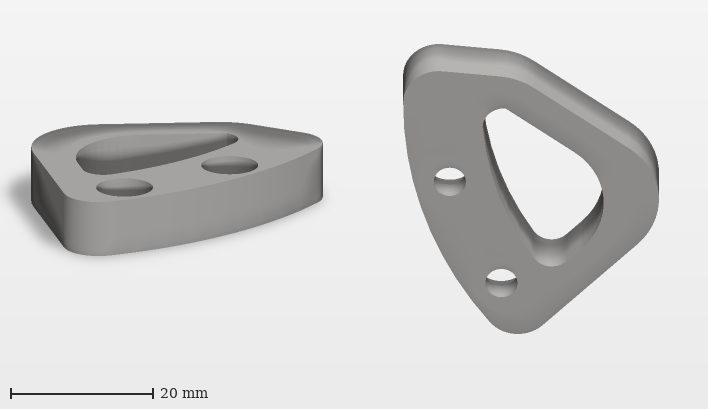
import cadquery as cq
import math

thickness = 8.0
outer_radius = 56.0
slot_radius = 45.0
lower_edge_angle = -10.0
upper_edge_angle = 40.0

back_wall_angle = 70.0
back_wall_distance = 20.0

frame_width = 5.0

back_corner_radius = 10.0
rim_corner_radius = 5.0
slot_back_corner_radius = 10.0
slot_rim_corner_radius = 3.0

hole_circle_radius = 51.0
hole_angles = (0.0, 20.0)
hole_diameter = 4.5
counterbore_diameter = 8.0
counterbore_depth = 4.6


def polar(radius, angle):
    """Point at a given radius and angle from the origin."""
    return radius * math.cos(math.radians(angle)), radius * math.sin(math.radians(angle))


def moved(point, distance, angle):
    """Point shifted by a distance along an angle."""
    step_x, step_y = polar(distance, angle)
    return point[0] + step_x, point[1] + step_y


def back_wall_point(wall_distance, edge_angle, edge_offset):
    """Corner where a wall parallel to the back wall meets a line parallel to a radial edge.

    edge_offset is measured to the left of the radial edge direction.
    """
    normal_angle = back_wall_angle - 90.0
    foot = polar(edge_offset, edge_angle + 90.0)
    foot_distance = edge_offset * math.cos(math.radians(edge_angle + 90.0 - normal_angle))
    travel = (wall_distance - foot_distance) / math.cos(math.radians(edge_angle - normal_angle))
    return moved(foot, travel, edge_angle)


def rim_corner_centre(arc_radius, edge_angle, edge_offset, corner_radius, side):
    """Radius and angle from the origin of the centre of a round inside a rim corner.

    The corner lies between an arc about the origin and a line parallel to a radial edge.
    side is +1 when the round lies to the left of the line and -1 when it lies to the right.
    """
    centre_radius = arc_radius - corner_radius
    centre_offset = edge_offset + side * corner_radius
    centre_angle = edge_angle + math.degrees(math.asin(centre_offset / centre_radius))
    return centre_radius, centre_angle


def rim_corner(arc_radius, edge_angle, edge_offset, corner_radius, side):
    """Start on the line, middle and end on the arc of a round inside a rim corner."""
    centre_radius, centre_angle = rim_corner_centre(
        arc_radius, edge_angle, edge_offset, corner_radius, side)
    centre = polar(centre_radius, centre_angle)
    line_side_angle = edge_angle - side * 90.0
    on_line = moved(centre, corner_radius, line_side_angle)
    middle = moved(centre, corner_radius, (line_side_angle + centre_angle) / 2.0)
    on_arc = polar(arc_radius, centre_angle)
    return on_line, middle, on_arc


def middle_of_arc(radius, start, end):
    """Point halfway along an arc about the origin."""
    start_angle = math.degrees(math.atan2(start[1], start[0]))
    end_angle = math.degrees(math.atan2(end[1], end[0]))
    return polar(radius, (start_angle + end_angle) / 2.0)


def make_plate():
    """Outer body with all four corners rounded."""
    low_line, low_middle, low_arc = rim_corner(
        outer_radius, lower_edge_angle, 0.0, rim_corner_radius, 1)
    high_line, high_middle, high_arc = rim_corner(
        outer_radius, upper_edge_angle, 0.0, rim_corner_radius, -1)
    low_back = back_wall_point(back_wall_distance, lower_edge_angle, 0.0)
    high_back = back_wall_point(back_wall_distance, upper_edge_angle, 0.0)
    plate = (
        cq.Workplane("XY")
        .moveTo(*low_back)
        .lineTo(*low_line)
        .threePointArc(low_middle, low_arc)
        .threePointArc(middle_of_arc(outer_radius, low_arc, high_arc), high_arc)
        .threePointArc(high_middle, high_line)
        .lineTo(*high_back)
        .close()
        .extrude(thickness)
    )
    for corner in (low_back, high_back):
        nearest = cq.selectors.NearestToPointSelector((*corner, thickness / 2.0))
        plate = plate.edges("|Z").edges(nearest).fillet(back_corner_radius)
    return plate


def make_slot():
    """Window through the plate; its upper round runs straight into the back wall."""
    wall_distance = back_wall_distance + frame_width
    low_line, low_middle, low_arc = rim_corner(
        slot_radius, lower_edge_angle, frame_width, slot_rim_corner_radius, 1)
    upper_round = (slot_radius, upper_edge_angle, -frame_width, slot_rim_corner_radius, -1)
    _, high_middle, high_arc = rim_corner(*upper_round)
    low_back = back_wall_point(wall_distance, lower_edge_angle, frame_width)

    centre_radius, centre_angle = rim_corner_centre(*upper_round)
    wall_normal = back_wall_angle - 90.0
    centre_distance = centre_radius * math.cos(math.radians(centre_angle - wall_normal))
    gap = centre_distance - wall_distance
    half_chord = math.sqrt(slot_rim_corner_radius**2 - gap**2)
    chord_middle = moved(polar(centre_radius, centre_angle), -gap, wall_normal)
    high_back = moved(chord_middle, half_chord, back_wall_angle)

    slot = (
        cq.Workplane("XY")
        .moveTo(*low_back)
        .lineTo(*low_line)
        .threePointArc(low_middle, low_arc)
        .threePointArc(middle_of_arc(slot_radius, low_arc, high_arc), high_arc)
        .threePointArc(high_middle, high_back)
        .close()
        .extrude(thickness)
    )
    nearest = cq.selectors.NearestToPointSelector((*low_back, thickness / 2.0))
    return slot.edges("|Z").edges(nearest).fillet(slot_back_corner_radius)


def cut_screw_holes(body):
    """Through holes counterbored from the top face."""
    return (
        body.faces(">Z")
        .workplane(origin=(0, 0, thickness))
        .pushPoints([polar(hole_circle_radius, angle) for angle in hole_angles])
        .cboreHole(hole_diameter, counterbore_diameter, counterbore_depth)
    )


result = cut_screw_holes(make_plate().cut(make_slot()))